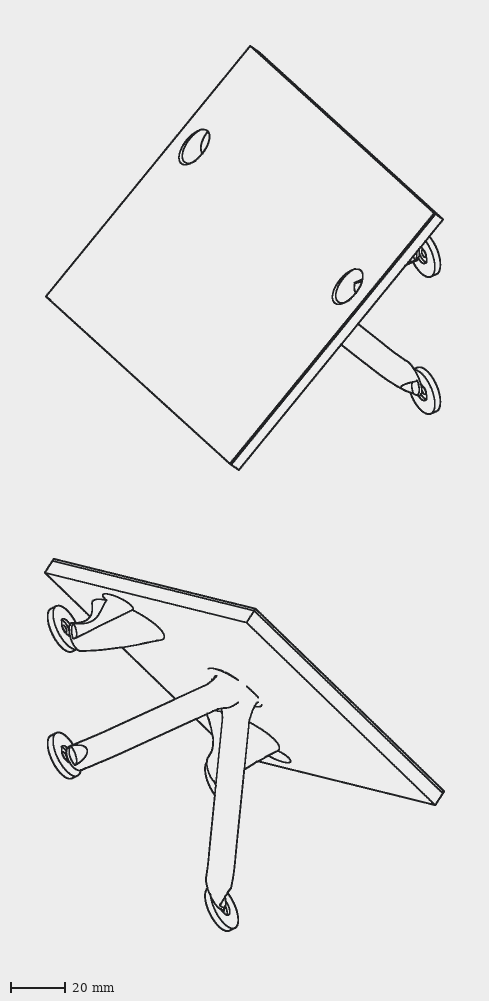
import cadquery as cq
import math

board_size = 120.0
tilt = 40.0
plate_thickness = 5.4
sheet_thickness = 1.0
board_back_y = 0.5
overall_height = 100.9
board_thickness = plate_thickness + sheet_thickness

foot_diameter = 17.8
foot_thickness = 2.5
foot_spacing_x = 100.1
foot_radius = foot_diameter / 2
lower_foot_z = foot_radius
upper_foot_z = 74.0
screw_diameter = 3.0
head_diameter = 7.0
head_depth = 1.2

bore_diameter = 10.0
bore_floor = 0.8

tube_diameter = 10.0
lower_base_x = 5.2
lower_base_z = 1.9
lower_exit_across = 0.5
lower_exit_rise = 0.5
root_depth = 4.8
lower_landing = 58.2
lower_lean = 0.9
straight_length = 57.6
lower_landing_x = -1.2
flare_length = 10.8
throat_diameter = 12.7
flare_landing = 56.6
landing_diameter = 22.2

upper_base_x = 6.2
upper_base_width = 10.0
upper_base_height = 12.5
upper_waist_x = 10.8
upper_waist_y = -13.5
upper_waist_z = -0.1
upper_waist_width = 13.2
upper_waist_length = 23.8
upper_waist_tilt = 53.0
upper_landing = 27.7
upper_landing_x = 13.5
upper_landing_width = 25.2
upper_landing_length = 36.0

sin_tilt = math.sin(math.radians(tilt))
cos_tilt = math.cos(math.radians(tilt))
board_back_z = overall_height - board_thickness * cos_tilt
board_normal = cq.Vector(0, -sin_tilt, cos_tilt)
board_slope = cq.Vector(0, cos_tilt, sin_tilt)
foot_front = -foot_thickness
foot_x = foot_spacing_x / 2
foot_places = [(x, z) for x in (-foot_x, foot_x) for z in (lower_foot_z, upper_foot_z)]


def underside_point(x, distance):
    """Point on the underside of the plate, a distance down the slope from its upper edge."""
    return cq.Vector(x, board_back_y - distance * cos_tilt, board_back_z - distance * sin_tilt)


def slope_plane(origin, normal):
    return cq.Plane(origin=origin, xDir=(1, 0, 0), normal=normal)


def slab(bottom, thickness):
    """Square layer of the board, its lower face at a height above the underside."""
    plane = slope_plane(underside_point(0, board_size / 2), board_normal)
    return cq.Workplane(plane).workplane(offset=bottom).rect(board_size, board_size).extrude(thickness)


def rod_to_front(x, z, diameter, start_y, length):
    """Cylinder along -Y."""
    plane = cq.Plane(origin=(x, start_y, z), xDir=(1, 0, 0), normal=(0, -1, 0))
    return cq.Workplane(plane).circle(diameter / 2).extrude(length)


def make_foot(x, z):
    """Foot disc with a screw hole and a recess for the screw head."""
    disc = rod_to_front(x, z, foot_diameter, 0, foot_thickness)
    screw_hole = rod_to_front(x, z, screw_diameter, 0, foot_thickness)
    head_recess = rod_to_front(x, z, head_diameter, foot_front + head_depth, head_depth)
    return disc.cut(screw_hole).cut(head_recess)


def cut_bores(body):
    """Clear a path to each screw, from just above the foot out through the board."""
    for x, z in foot_places:
        body = body.cut(rod_to_front(x, z, bore_diameter, foot_front - bore_floor, board_size))
    return body


def ellipse_wire(plane, width, length):
    return cq.Workplane(plane).ellipse(width / 2, length / 2).val()


def lower_leg():
    """Left lower leg: a tube that bends just off the foot, runs straight and flares out at the board."""
    base = cq.Vector(lower_base_x - foot_x, foot_front, lower_foot_z + lower_base_z)
    landing = underside_point(lower_landing_x, lower_landing)
    axis = cq.Vector(lower_lean * cos_tilt, -sin_tilt, cos_tilt).normalized()
    bend_end = landing - axis * straight_length
    exit_direction = cq.Vector(lower_exit_across, -1, lower_exit_rise).normalized()
    start = base - exit_direction * root_depth
    bend = cq.Edge.makeSpline([start, bend_end], [exit_direction, axis])
    neck = landing - axis * flare_length
    path = cq.Wire.assembleEdges([bend, cq.Edge.makeLine(bend_end, neck)])
    start_plane = cq.Plane(start, cq.Vector(0, 0, 1).cross(exit_direction), exit_direction)
    tube = cq.Workplane(start_plane).circle(tube_diameter / 2).sweep(cq.Workplane(path))

    mouth = slope_plane(underside_point(lower_landing_x, flare_landing), board_normal)
    across = board_slope.cross(axis)
    throat = landing - axis * (flare_length / 2)
    flare = cq.Solid.makeLoft(
        [
            ellipse_wire(cq.Plane(neck, across, axis), tube_diameter, tube_diameter),
            ellipse_wire(cq.Plane(throat, across, axis), throat_diameter, throat_diameter),
            ellipse_wire(mouth, landing_diameter, landing_diameter),
        ]
    )
    leg = tube.union(cq.Workplane(flare))

    room = cq.Workplane(origin=(0, foot_front, 0)).rect(-board_size, -board_size, centered=False)
    return leg.intersect(room.extrude(board_size))


def upper_leg():
    """Left upper leg: a loft from the foot through a waist to the underside of the board."""
    base = cq.Plane(
        origin=(upper_base_x - foot_x, foot_front, upper_foot_z), xDir=(1, 0, 0), normal=(0, -1, 0)
    )
    waist_angle = math.radians(upper_waist_tilt)
    waist = slope_plane(
        (upper_waist_x - foot_x, upper_waist_y, upper_foot_z + upper_waist_z),
        (0, -math.sin(waist_angle), math.cos(waist_angle)),
    )
    landing = slope_plane(underside_point(upper_landing_x - foot_x, upper_landing), board_normal)
    return cq.Workplane(
        cq.Solid.makeLoft(
            [
                ellipse_wire(base, upper_base_width, upper_base_height),
                ellipse_wire(waist, upper_waist_width, upper_waist_length),
                ellipse_wire(landing, upper_landing_width, upper_landing_length),
            ]
        )
    )


def make_frame():
    """Backing plate with its four legs, bored for the screwdriver."""
    frame = slab(0, plate_thickness)
    for leg in (lower_leg(), upper_leg()):
        frame = frame.union(leg).union(leg.mirror("YZ"))
    return cut_bores(frame)


frame = make_frame()
sheet = cut_bores(slab(plate_thickness, sheet_thickness))
feet = [make_foot(x, z) for x, z in foot_places]

result = cq.Compound.makeCompound([frame.val(), sheet.val(), *[foot.val() for foot in feet]])